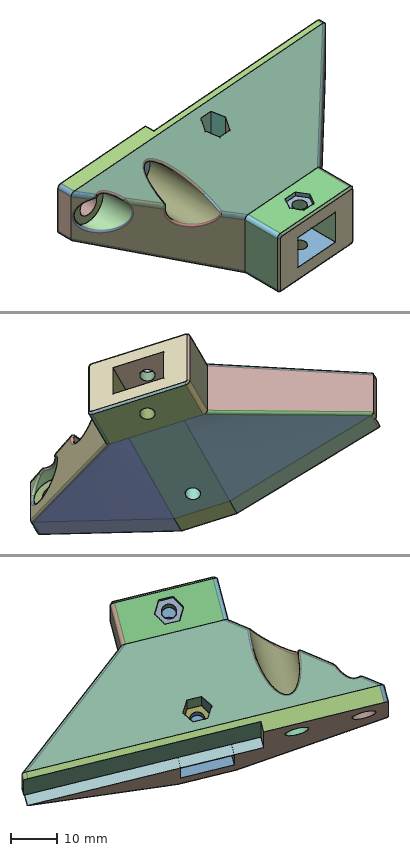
import cadquery as cq
import math

total_length = 39.0
flange_width = 81.0
flange_height = 26.7
flange_thickness = 4.0
flange_side_bottom = 13.4
keel_width = 13.1

block_start = 28.9
block_width = 24.0
block_bottom = 1.0
block_top = 17.1
block_end_chamfer = 0.5
edge_radius = 1.0

ledge_depth = 2.4
ledge_floor = 13.45
ledge_end_y = -12.55

channel_width = 12.0
channel_bottom = 4.9
channel_top = 13.2

mount_hole_diameter = 5.3
head_bore_diameter = 9.2
head_bore_rim_radius = 0.4
mount_hole_z = 20.2
mount_hole_ys = (-20.0, -35.0)

clamp_hole_diameter = 3.3
nut_corner_diameter = 6.5
nut_floor = 16.0
clamp_hole_xs = (9.0, 33.9)

position_tolerance = 0.001
rim_sample_parameters = (0, 0.3, 0.7)


def section(x, width, bottom, top, side_bottom):
    """Six-sided cross-section at x, with the four outer corners rounded."""
    half_width = width / 2
    half_keel = keel_width / 2
    corners = [
        (half_keel, bottom, False),
        (half_width, side_bottom, True),
        (half_width, top, True),
        (-half_width, top, True),
        (-half_width, side_bottom, True),
        (-half_keel, bottom, False),
    ]
    edges = []
    previous_end = None
    first_start = None
    for index, (y, z, rounded) in enumerate(corners):
        corner = cq.Vector(x, y, z)
        start = middle = end = corner
        if rounded:
            before_y, before_z, _ = corners[index - 1]
            after_y, after_z, _ = corners[(index + 1) % len(corners)]
            to_before = (cq.Vector(x, before_y, before_z) - corner).normalized()
            to_after = (cq.Vector(x, after_y, after_z) - corner).normalized()
            half_angle = to_before.getAngle(to_after) / 2
            setback = edge_radius / math.tan(half_angle)
            inset = edge_radius / math.sin(half_angle) - edge_radius
            start = corner + to_before * setback
            middle = corner + (to_before + to_after).normalized() * inset
            end = corner + to_after * setback
        if previous_end is None:
            first_start = start
        else:
            edges.append(cq.Edge.makeLine(previous_end, start))
        if rounded:
            edges.append(cq.Edge.makeThreePointArc(start, middle, end))
        previous_end = end
    edges.append(cq.Edge.makeLine(previous_end, first_start))
    return cq.Wire.assembleEdges(edges)


def flange_section(x):
    return section(x, flange_width, 0, flange_height, flange_side_bottom)


def block_section(x):
    return section(x, block_width, block_bottom, block_top, block_bottom)


def ruled_body(start_section, end_section):
    return cq.Workplane(cq.Solid.makeLoft([start_section, end_section], True))


def x_cylinder(diameter, x, y, length):
    return cq.Workplane("YZ", origin=(x, y, mount_hole_z)).circle(diameter / 2).extrude(length)


def is_on_bore(point, bore_y):
    distance = math.hypot(point.y - bore_y, point.z - mount_hole_z)
    return abs(distance - head_bore_diameter / 2) < position_tolerance


def bore_rim_edges(solid):
    """Curved edges where the head bores break out through the neck."""
    rim_edges = []
    for edge in solid.edges().vals():
        points = edge.positions(rim_sample_parameters)
        past_flange = points[1].x > flange_thickness + position_tolerance
        on_one_bore = any(all(is_on_bore(point, y) for point in points) for y in mount_hole_ys)
        if past_flange and on_one_bore and edge.geomType() != "LINE":
            rim_edges.append(edge)
    return rim_edges


flange = ruled_body(flange_section(0), flange_section(flange_thickness))
neck = ruled_body(flange_section(flange_thickness), block_section(block_start))
block = ruled_body(block_section(block_start), block_section(total_length))
block = block.faces(">X").edges().chamfer(block_end_chamfer)

for hole_y in mount_hole_ys:
    neck = neck.cut(x_cylinder(head_bore_diameter, flange_thickness, hole_y, total_length))

body = flange.union(neck).union(block)
body = body.newObject(bore_rim_edges(body)).fillet(head_bore_rim_radius)

for hole_y in mount_hole_ys:
    body = body.cut(x_cylinder(mount_hole_diameter, 0, hole_y, total_length))

ledge = cq.Workplane("XY").box(
    ledge_depth,
    flange_width / 2 - ledge_end_y,
    flange_height - ledge_floor,
    centered=False,
).translate((0, ledge_end_y, ledge_floor))

channel = cq.Workplane("XY").box(
    total_length,
    channel_width,
    channel_top - channel_bottom,
    centered=(False, True, False),
).translate((0, 0, channel_bottom))
body = body.cut(ledge).cut(channel)

for hole_x in clamp_hole_xs:
    hole = cq.Workplane("XY").center(hole_x, 0).circle(clamp_hole_diameter / 2).extrude(flange_height)
    nut_pocket = (
        cq.Workplane("XY", origin=(hole_x, 0, nut_floor))
        .transformed(rotate=(0, 0, 90))
        .polygon(6, nut_corner_diameter)
        .extrude(flange_height - nut_floor)
    )
    body = body.cut(hole).cut(nut_pocket)

result = body